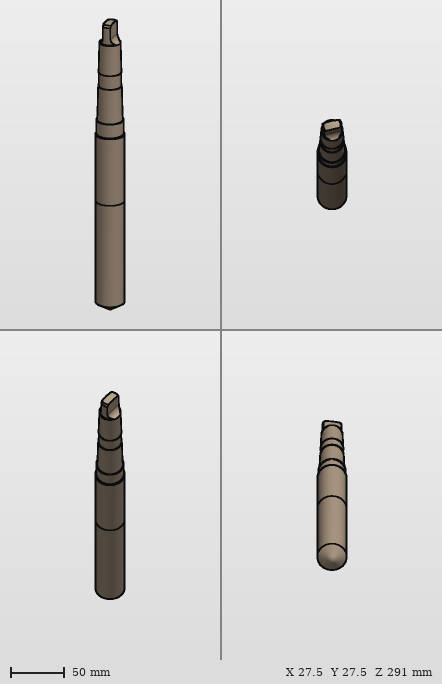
import cadquery as cq
import math

total_length = 291.0
body_diameter = 27.5
point_angle = 118.0
drill_length = 110.5

neck_diameter = 25.82
relief_diameter = 21.2
gauge_diameter = 23.825
gauge_depth = 94.0
taper_ratio = 0.0502
taper_start_depth = 21.0
relief_start_depth = 51.0
relief_end_depth = 64.75
neck_start_depth = 99.0
neck_end_depth = 112.7
body_chamfer = (body_diameter - neck_diameter) / 2
end_chamfer = 0.5

tang_diameter = 18.5
tang_thickness = 7.9
tang_flat_depth = 14.2
tang_runout_radius = 7.0
tang_crown_radius = 31.5
tang_edge_width = 1.3
tang_edge_height = 2.2
tang_angle = -5.0

body_radius = body_diameter / 2
tang_radius = tang_diameter / 2


def height(depth):
    """Height above the drill point of a place given by its depth below the tang top."""
    return total_length - depth


def taper_radius(depth):
    """Radius of the taper cone at a depth below the tang top."""
    return (gauge_diameter - (gauge_depth - depth) * taper_ratio) / 2


def make_drill():
    """Plain cutting body with a conical point."""
    point_height = body_radius / math.tan(math.radians(point_angle / 2))
    return (
        cq.Workplane("XZ")
        .moveTo(0, 0)
        .lineTo(body_radius, point_height)
        .lineTo(body_radius, drill_length)
        .lineTo(0, drill_length)
        .close()
        .revolve(360, (0, 0, 0), (0, 1, 0))
    )


def make_turned_shank():
    """Turned collar, neck, relieved taper and crowned round end."""
    end_radius = taper_radius(taper_start_depth)
    relief_radius = relief_diameter / 2
    neck_radius = neck_diameter / 2

    crown_edge_radius = tang_radius - tang_edge_width
    crown_edge_depth = crown_depth(crown_edge_radius)
    crown_middle_radius = crown_edge_radius / 2

    return (
        cq.Workplane("XZ")
        .moveTo(0, drill_length)
        .lineTo(body_radius, drill_length)
        .lineTo(body_radius, height(neck_end_depth + body_chamfer))
        .lineTo(neck_radius, height(neck_end_depth))
        .lineTo(neck_radius, height(neck_start_depth))
        .lineTo(taper_radius(neck_start_depth), height(neck_start_depth))
        .lineTo(taper_radius(relief_end_depth), height(relief_end_depth))
        .lineTo(relief_radius, height(relief_end_depth))
        .lineTo(relief_radius, height(relief_start_depth))
        .lineTo(taper_radius(relief_start_depth), height(relief_start_depth))
        .lineTo(end_radius, height(taper_start_depth))
        .lineTo(end_radius - end_chamfer, height(taper_start_depth - end_chamfer))
        .lineTo(tang_radius, height(taper_start_depth - end_chamfer))
        .lineTo(tang_radius, height(crown_edge_depth + tang_edge_height))
        .lineTo(crown_edge_radius, height(crown_edge_depth))
        .threePointArc(
            (crown_middle_radius, height(crown_depth(crown_middle_radius))),
            (0, total_length),
        )
        .close()
        .revolve(360, (0, 0, 0), (0, 1, 0))
    )


def crown_depth(radius):
    """Depth of the spherical tang crown below its top at a given radius."""
    return tang_crown_radius - math.sqrt(tang_crown_radius**2 - radius**2)


def make_flat_cutter(side):
    """Tool that mills one tang flat on the given side (+1 or -1) with a concave run-out."""
    flat_x = side * tang_thickness / 2
    centre_x = flat_x + side * tang_runout_radius
    runout_top = height(tang_flat_depth)
    arc_offset = tang_runout_radius * math.sqrt(0.5)
    cutter = (
        cq.Workplane("XZ")
        .moveTo(flat_x, total_length)
        .lineTo(flat_x, runout_top)
        .threePointArc(
            (centre_x - side * arc_offset, runout_top - arc_offset),
            (centre_x, runout_top - tang_runout_radius),
        )
        .lineTo(centre_x, total_length)
        .close()
        .extrude(body_radius, both=True)
    )
    return cutter.rotate((0, 0, 0), (0, 0, 1), tang_angle)


def make_shank():
    """Tapered shank with its tang flats."""
    body = make_turned_shank()
    for side in (1, -1):
        body = body.cut(make_flat_cutter(side))
    return body


drill = make_drill()
shank = make_shank()
result = cq.Compound.makeCompound([drill.val(), shank.val()])